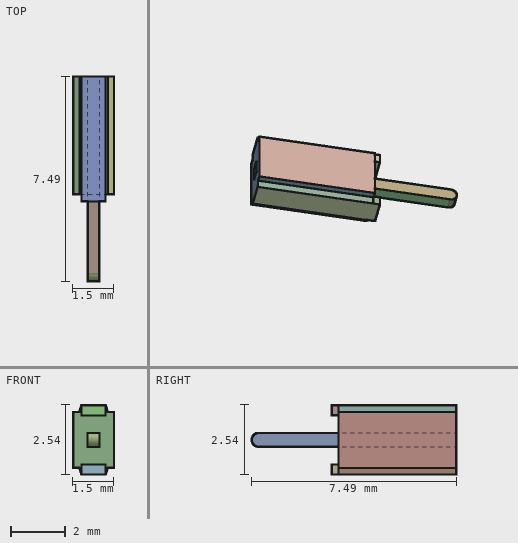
import cadquery as cq

total_length = 7.49

housing_width = 1.5
housing_height = 2.54
rail_height = 0.25
rail_base_width = 1.04
rail_top_width = 0.89

housing_length = 4.315
tab_length = 0.255
tab_height = 0.375

pin_width = 0.435
pin_height = 0.52

back_y = total_length / 2
housing_front_y = back_y - housing_length
pin_tip_y = -total_length / 2


def make_housing():
    """Prism with a tapered rail above and below, and a square tab in front of each rail."""
    top_z = housing_height / 2
    shoulder_z = top_z - rail_height
    half_width = housing_width / 2
    half_base = rail_base_width / 2
    half_top = rail_top_width / 2
    section = [
        (half_width, -shoulder_z),
        (half_width, shoulder_z),
        (half_base, shoulder_z),
        (half_top, top_z),
        (-half_top, top_z),
        (-half_base, shoulder_z),
        (-half_width, shoulder_z),
        (-half_width, -shoulder_z),
        (-half_base, -shoulder_z),
        (-half_top, -top_z),
        (half_top, -top_z),
        (half_base, -shoulder_z),
    ]
    housing = cq.Workplane("XZ", origin=(0, back_y, 0)).polyline(section).close().extrude(housing_length)

    tab_center_z = top_z - tab_height / 2
    for side in (1, -1):
        tab = (
            cq.Workplane("XZ", origin=(0, housing_front_y, side * tab_center_z))
            .rect(rail_top_width, tab_height)
            .extrude(tab_length)
        )
        housing = housing.union(tab)
    return housing


def make_pin():
    """Rectangular pin running from the housing's back face out through its front, with a fully rounded tip."""
    tip_radius = pin_height / 2
    round_start_y = pin_tip_y + tip_radius
    return (
        cq.Workplane("YZ")
        .moveTo(back_y, tip_radius)
        .lineTo(round_start_y, tip_radius)
        .threePointArc((pin_tip_y, 0), (round_start_y, -tip_radius))
        .lineTo(back_y, -tip_radius)
        .close()
        .extrude(pin_width / 2, both=True)
    )


pin = make_pin()
housing = make_housing().cut(pin)

result = cq.Compound.makeCompound([*housing.solids().vals(), *pin.solids().vals()])